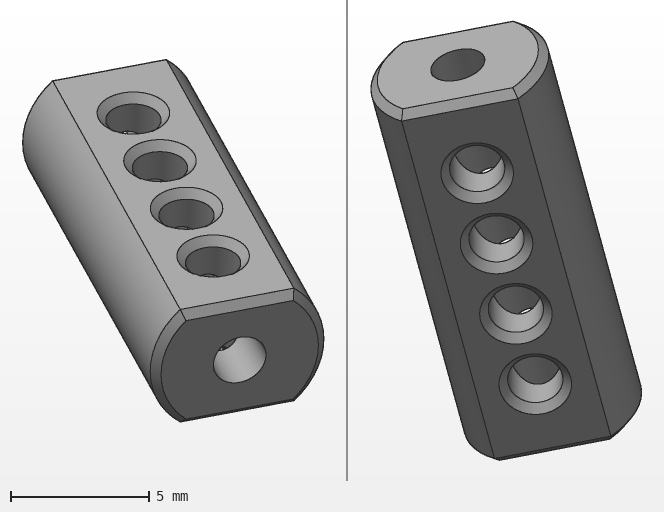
import cadquery as cq

length = 15.62
diameter = 6.6
height = 5.0

end_chamfer = 0.31

hole_diameter = 2.0
countersink_diameter = 2.62
countersink_depth = (countersink_diameter - hole_diameter) / 2
hole_count = 4
hole_pitch = 3.12


def flattened_bar():
    """Round bar along X, cut flat on top and bottom, with chamfered ends."""
    bar = cq.Workplane("YZ").circle(diameter / 2).extrude(length / 2, both=True)
    slab = cq.Workplane("XY").box(length, diameter, height)
    return bar.intersect(slab).faces("<X or >X").chamfer(end_chamfer)


def countersunk_hole():
    """Cutter for one vertical hole, countersunk at both flats."""
    hole_radius = hole_diameter / 2
    rim_radius = countersink_diameter / 2
    top = height / 2
    shoulder = top - countersink_depth
    profile = [
        (0, -top),
        (rim_radius, -top),
        (hole_radius, -shoulder),
        (hole_radius, shoulder),
        (rim_radius, top),
        (0, top),
    ]
    return cq.Workplane("XZ").polyline(profile).close().revolve(360, (0, 0), (0, 1))


result = flattened_bar()

for index in range(hole_count):
    hole_x = (index - (hole_count - 1) / 2) * hole_pitch
    result = result.cut(countersunk_hole().translate((hole_x, 0, 0)))

bore = cq.Workplane("YZ").circle(hole_diameter / 2).extrude(length / 2, both=True)
result = result.cut(bore)